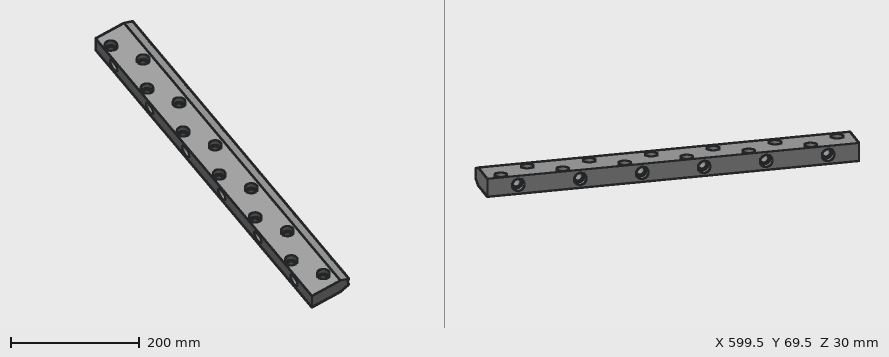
import cadquery as cq

length = 599.5
width = 69.5
height = 30

taper_length = 16.0
nose_height = 15.0
groove_depth = 2.5

hole_diameter = 14.0
counterbore_diameter = 20.0
counterbore_depth = 12
holes_per_row = 6
pitch = length / holes_per_row

outer_row_y = 12
inner_row_y = 38.5
outer_row_start = pitch / 4
inner_row_start = 3 * pitch / 4
back_row_start = pitch / 2


def row_points(start, across):
    """Centres of one row of evenly spaced holes."""
    return [(start + i * pitch, across) for i in range(holes_per_row)]


def drill_row(body, plane, points):
    """Cut counterbored holes through the bar, entering at the plane."""
    return body.copyWorkplane(cq.Workplane(plane)).pushPoints(points).cboreHole(
        hole_diameter, counterbore_diameter, counterbore_depth
    )


middle = height / 2
shoulder_y = width - taper_length
nose_bottom = middle - nose_height / 2
nose_top = middle + nose_height / 2

bar = (
    cq.Workplane("YZ")
    .moveTo(0, 0)
    .lineTo(shoulder_y, 0)
    .lineTo(width, nose_bottom)
    .lineTo(width - groove_depth, middle)
    .lineTo(width, nose_top)
    .lineTo(shoulder_y, height)
    .lineTo(0, height)
    .close()
    .extrude(length)
)

top_plane = cq.Plane(origin=(0, 0, height), xDir=(1, 0, 0), normal=(0, 0, 1))
bar = drill_row(bar, top_plane, row_points(outer_row_start, outer_row_y))
bar = drill_row(bar, top_plane, row_points(inner_row_start, inner_row_y))

back_plane = cq.Plane(origin=(0, 0, 0), xDir=(1, 0, 0), normal=(0, -1, 0))
result = drill_row(bar, back_plane, row_points(back_row_start, middle))